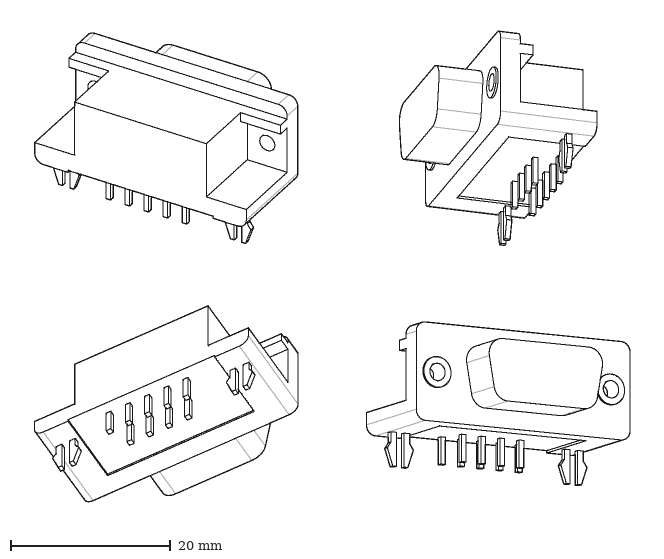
import cadquery as cq
import math


total_depth = 18.5
total_height = 16.88

width = 30.81
depth = 12.73
height = 12.55
corner_radius = 1.3
flange_thickness = 2.63
block_width = 19.2
block_height = 10.77
shelf_height = 2.87
lip_depth = 1.66
lip_thickness = 1.32
recess_width = 21.1
recess_depth = 0.3

shell_length = total_depth - depth
shell_height = 7.9
shell_width = 16.33
shell_radius = 2.0
shell_side_angle = 10
fixing_pitch = 25.0
fixing_hole_diameter = 2.2
rivet_diameter = 3.9
rivet_height = 0.27
axis_height = height / 2

contact_count = 9
contact_pitch = 2.77 / 2
row_spacing = 2.84
contact_size = 0.68
contact_length = 3.17

peg_thickness = 0.69
peg_setback = 3.2
peg_length = total_height - height
peg_inner = 0.54
peg_outer = 1.37
peg_barb = 1.88
peg_tip = 1.1
peg_neck_length = 1.3
peg_barb_depth = 2.06

back_y = -depth
flange_back_y = -flange_thickness
peg_y = back_y + peg_setback


def box(x_range, y_range, z_range):
    """Axis-aligned box from its limits along X, Y and Z."""
    size = [high - low for low, high in (x_range, y_range, z_range)]
    corner = (x_range[0], y_range[0], z_range[0])
    return cq.Workplane("XY").box(*size, centered=False).translate(corner)


def make_housing():
    """Rounded envelope cut back to a flange, a centre block, two shelves and two lips."""
    housing = box((-width / 2, width / 2), (back_y, 0), (0, height)).edges("|Y").fillet(corner_radius)
    behind_flange = (back_y, flange_back_y)
    housing = housing.cut(box((-width / 2, width / 2), behind_flange, (block_height, height)))
    lip_back_y = flange_back_y - lip_depth
    lip_bottom = block_height - lip_thickness
    for x_range in ((-width / 2, -block_width / 2), (block_width / 2, width / 2)):
        housing = housing.cut(box(x_range, behind_flange, (shelf_height, lip_bottom)))
        housing = housing.cut(box(x_range, (back_y, lip_back_y), (lip_bottom, block_height)))
    return housing.cut(box((-recess_width / 2, recess_width / 2), behind_flange, (0, recess_depth)))


def make_shell():
    """D-shaped shell: wide at the top, sides leaning in towards the bottom."""
    angle = math.radians(shell_side_angle)
    centre_height = shell_height - 2 * shell_radius
    top_half = shell_width / 2 - shell_radius
    bottom_half = top_half - centre_height * math.tan(angle)
    top = centre_height / 2
    centres = [(-top_half, top), (top_half, top), (bottom_half, -top), (-bottom_half, -top)]
    return (
        cq.Workplane("XZ", origin=(0, 0, axis_height))
        .polyline(centres)
        .close()
        .offset2D(shell_radius)
        .extrude(-shell_length)
    )


def make_cylinder(x, y_start, length, diameter):
    """Cylinder along +Y at the height of the fixing holes."""
    return cq.Workplane("XZ", origin=(x, y_start, axis_height)).circle(diameter / 2).extrude(-length)


def make_contact(index):
    """Pin of the two staggered rows; even pins stand in the row nearest the back."""
    x = (index - (contact_count - 1) / 2) * contact_pitch
    row_side = -1 if index % 2 == 0 else 1
    y = peg_y + row_side * row_spacing / 2
    half = contact_size / 2
    return box((x - half, x + half), (y - half, y + half), (-contact_length, recess_depth))


def make_peg_prong(x, side):
    """One barbed prong of a split board-lock peg."""
    profile = [
        (peg_inner, 0),
        (peg_outer, 0),
        (peg_outer, -peg_neck_length),
        (peg_barb, -peg_barb_depth),
        (peg_tip, -peg_length),
        (peg_inner, -peg_length),
    ]
    points = [(x + side * offset, z) for offset, z in profile]
    return (
        cq.Workplane("XZ", origin=(0, peg_y, 0))
        .polyline(points)
        .close()
        .extrude(peg_thickness / 2, both=True)
    )


result = make_housing().union(make_shell())

for contact_index in range(contact_count):
    result = result.union(make_contact(contact_index))

for fixing_x in (-fixing_pitch / 2, fixing_pitch / 2):
    result = result.union(make_cylinder(fixing_x, 0, rivet_height, rivet_diameter))
    hole_length = flange_thickness + rivet_height
    result = result.cut(make_cylinder(fixing_x, flange_back_y, hole_length, fixing_hole_diameter))
    for prong_side in (-1, 1):
        result = result.union(make_peg_prong(fixing_x, prong_side))